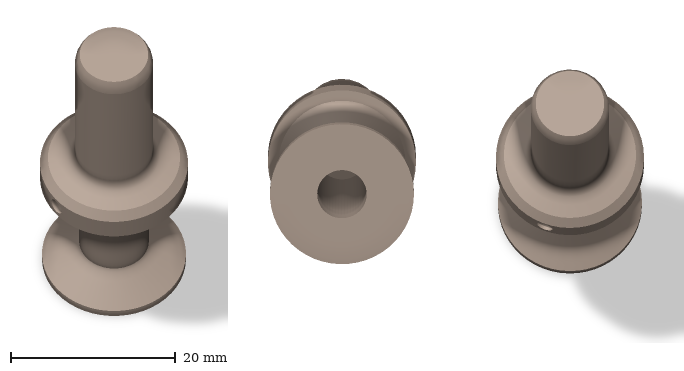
import cadquery as cq
import math

total_height = 41.2

foot_radius = 8.755
foot_rim_height = 1.0
cone_angle = math.radians(30)

stem_radius = 4.25

collar_radius = 9.002
collar_bottom = 16.4
collar_rim_top = 19.32
under_cone_radius = 7.7
bevel_radius = 8.05
bevel_top = 20.3
shoulder_angle = math.radians(15)

pin_radius = 4.76
pin_fillet_radius = 1.0
pin_end_radius = 4.15
pin_end_rounding_height = 1.75

bore_radius = 3.0
bore_depth = 20.0

hole_diameter = 2.0
hole_height = 18.0

foot_cone_top = foot_rim_height + (foot_radius - stem_radius) * math.tan(cone_angle)
under_cone_bottom = collar_bottom - (under_cone_radius - stem_radius) * math.tan(cone_angle)

fillet_center_r = pin_radius + pin_fillet_radius
fillet_end_r = fillet_center_r - pin_fillet_radius * math.sin(shoulder_angle)
fillet_end_z = bevel_top + (bevel_radius - fillet_end_r) * math.tan(shoulder_angle)
fillet_center_z = fillet_end_z + pin_fillet_radius * math.cos(shoulder_angle)


def make_body():
    """Revolve the half profile, drawn as (radius, height), about Z."""
    profile = (
        cq.Workplane("XZ")
        .lineTo(foot_radius, 0)
        .lineTo(foot_radius, foot_rim_height)
        .lineTo(stem_radius, foot_cone_top)
        .lineTo(stem_radius, under_cone_bottom)
        .lineTo(under_cone_radius, collar_bottom)
        .lineTo(collar_radius, collar_bottom)
        .lineTo(collar_radius, collar_rim_top)
        .lineTo(bevel_radius, bevel_top)
        .lineTo(fillet_end_r, fillet_end_z)
        .tangentArcPoint((pin_radius, fillet_center_z), relative=False)
        .lineTo(pin_radius, total_height - pin_end_rounding_height)
        .tangentArcPoint((pin_end_radius, total_height), relative=False)
        .lineTo(0, total_height)
        .close()
    )
    return profile.revolve(360, (0, 0, 0), (0, 1, 0))


def make_rim_hole():
    """Round cutter running from the front of the collar to the axis."""
    return (
        cq.Workplane("XZ", origin=(0, -collar_radius, 0))
        .center(0, hole_height)
        .circle(hole_diameter / 2)
        .extrude(-collar_radius)
    )


def make_bore():
    """Round cutter rising along the axis from the foot."""
    return cq.Workplane("XY").circle(bore_radius).extrude(bore_depth)


result = make_body().cut(make_bore()).cut(make_rim_hole())